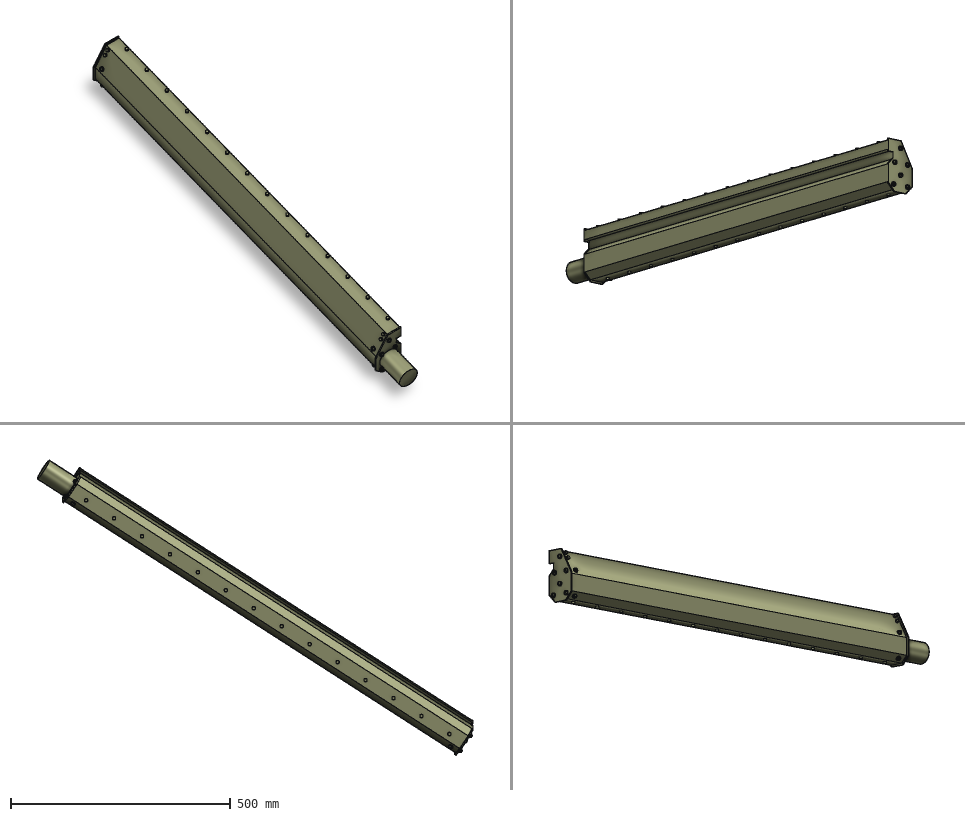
import cadquery as cq
import math

total_length = 1155.0
depth = 72.0
height = 122.0

plate_thickness = 3.0
plate_left = 6.0
plate_right = 1080.0

corner_chamfer = 18.0
top_front = 33.0
slope_bottom = 62.0
notch_depth = 14.0
notch_bottom = 77.0
notch_top = 92.0
back_shoulder = notch_bottom - notch_depth

body_inset = 4.0

shaft_diameter = 51.0
shaft_y = depth / 2
shaft_z = 40.0

small_head_diameter = 7.6
small_head_height = body_inset
large_head_diameter = 9.5
large_head_height = plate_left
large_head_bevel = 2.0
washer_diameter = 11.0
washer_thickness = 1.0
cover_screw_count = 14
cover_screw_pitch = 76.0
cover_screw_y = 65.0

end_screw_centre = (shaft_y, shaft_z)
end_screw_places = [
    (36.0, 104.0),
    (53.0, 68.0),
    (15.0, 68.0),
    (57.0, 16.0),
    (15.0, 16.0),
]

upper_slope_screw_inset = 14.0
upper_slope_screw_heights = (100.0, 113.0)
lower_slope_screw_inset = 22.0
lower_slope_screw_height = 70.0

embed = 1.0
housing_middle = (plate_left + plate_right) / 2


def plate_section(x):
    """Closed outline of the end plate in the YZ plane at the given X."""
    return (
        cq.Workplane("YZ", origin=(x, 0, 0))
        .moveTo(corner_chamfer, 0)
        .lineTo(depth - corner_chamfer, 0)
        .lineTo(depth, corner_chamfer)
        .lineTo(depth, back_shoulder)
        .lineTo(depth - notch_depth, notch_bottom)
        .lineTo(depth - notch_depth, notch_top)
        .lineTo(depth, notch_top)
        .lineTo(depth, height)
        .lineTo(top_front, height)
        .lineTo(0, slope_bottom)
        .lineTo(0, corner_chamfer)
        .close()
    )


def disc(seat, direction, diameter, disc_height):
    """Cylinder standing on a seat point, pointing along direction."""
    axis = cq.Vector(*direction).normalized()
    base = cq.Vector(*seat) - axis * embed
    return cq.Workplane(obj=cq.Solid.makeCylinder(diameter / 2, disc_height + embed, base, axis))


def small_screw(seat, direction):
    return disc(seat, direction, small_head_diameter, small_head_height)


def large_screw(seat, direction):
    washer = disc(seat, direction, washer_diameter, washer_thickness)
    head = disc(seat, direction, large_head_diameter, large_head_height)
    outward = cq.DirectionMinMaxSelector(cq.Vector(*direction), True)
    return washer.union(head.faces(outward).chamfer(large_head_bevel))


def make_body():
    """Housing between the plates; a copy shifted back brings its rear face flush with them."""
    start = plate_left + plate_thickness
    length = plate_right - plate_left - 2 * plate_thickness
    body = plate_section(start).offset2D(-body_inset, "intersection").extrude(length)
    return body.union(body.translate((0, body_inset, 0)))


def make_plates():
    left = plate_section(plate_left).extrude(plate_thickness)
    right = plate_section(plate_right - plate_thickness).extrude(plate_thickness)
    return left.union(right)


result = make_body().union(make_plates())

shaft = (
    cq.Workplane("YZ", origin=(plate_right - plate_thickness, shaft_y, shaft_z))
    .circle(shaft_diameter / 2)
    .extrude(total_length - plate_right + plate_thickness)
)
result = result.union(shaft)

for i in range(cover_screw_count):
    x = housing_middle + (i - (cover_screw_count - 1) / 2) * cover_screw_pitch
    result = result.union(small_screw((x, cover_screw_y, height - body_inset), (0, 0, 1)))
    result = result.union(small_screw((x, shaft_y, body_inset), (0, 0, -1)))

for y, z in end_screw_places:
    result = result.union(large_screw((plate_right, y, z), (1, 0, 0)))
for y, z in end_screw_places + [end_screw_centre]:
    result = result.union(large_screw((plate_left, y, z), (-1, 0, 0)))

slope_run = top_front / (height - slope_bottom)
slope_normal = (0, -1, slope_run)
slope_shift = body_inset * math.hypot(1, slope_run)


def slope_seat(x, z):
    """Point on the sloped front of the body."""
    return (x, (z - slope_bottom) * slope_run + slope_shift, z)


for x in (plate_left + upper_slope_screw_inset, plate_right - upper_slope_screw_inset):
    for z in upper_slope_screw_heights:
        result = result.union(small_screw(slope_seat(x, z), slope_normal))

chamfer_seat = corner_chamfer / 2 + body_inset / math.sqrt(2)
for x in (plate_left + lower_slope_screw_inset, plate_right - lower_slope_screw_inset):
    result = result.union(large_screw(slope_seat(x, lower_slope_screw_height), slope_normal))
    result = result.union(large_screw((x, chamfer_seat, chamfer_seat), (0, -1, -1)))